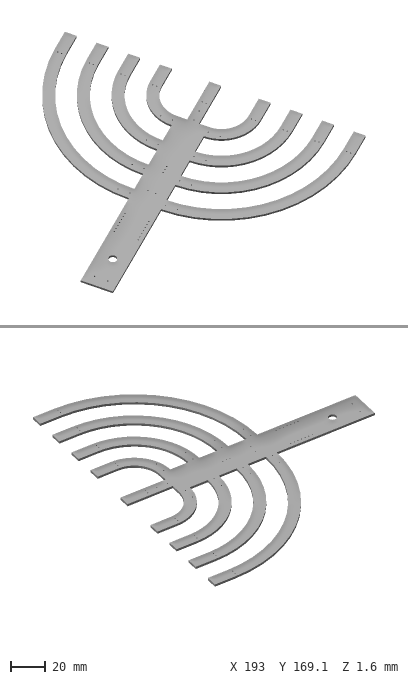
import cadquery as cq

thickness = 1.6
overall_width = 193.0
overall_height = 169.1

chip_row_spacing = 15.3
pitch = chip_row_spacing / 6

stem_width = 20.7
branch_width = 3 * pitch
branch_spacing = 8 * pitch
branch_count = 4
arc_centre_x = stem_width / 2
arc_centre_y = 155.0
outermost_radius = overall_width / 2 - branch_width / 2 - arc_centre_x
branch_radii = [outermost_radius - i * branch_spacing for i in range(branch_count)]
stem_top = arc_centre_y - branch_radii[-1] + branch_width / 2

lead_diameter = 0.75
transistor_diameter = 0.8
battery_diameter = 0.9
hanging_diameter = 5.2
hanging_y = 22.8
battery_y = 6.2
battery_half_span = 4.2
lamp_y = 153.3
centre_resistor_bottom_y = 138.6
resistor_span = 3 * pitch
branch_resistor_inner_x = 4.5 * pitch
branch_resistor_outer_x = branch_resistor_inner_x + resistor_span
capacitor_y = 78.5
transistor_middle_y = 97.3
chip_centre_y = 49.6
chip_half_span = chip_row_spacing / 2
chip_pins_per_side = 7


def block(x_min, x_max, y_min, y_max):
    """Plate-thick rectangle between the given limits."""
    corner = cq.Workplane("XY", origin=(x_min, y_min, 0))
    return corner.box(x_max - x_min, y_max - y_min, thickness, centered=False)


def branch(radius):
    """Right-hand branch: quarter ring leaving the stem, then a straight tip."""
    inner = radius - branch_width / 2
    outer = radius + branch_width / 2
    arc_centre = cq.Workplane("XY", origin=(arc_centre_x, arc_centre_y, 0))
    ring = arc_centre.circle(outer).circle(inner).extrude(thickness)
    quarter = block(arc_centre_x, arc_centre_x + outer, arc_centre_y - outer, arc_centre_y)
    tip = block(arc_centre_x + inner, arc_centre_x + outer, arc_centre_y, overall_height)
    return ring.intersect(quarter).union(tip)


def drill(body, points, diameter):
    """Through holes at the given points."""
    return body.cut(cq.Workplane("XY").pushPoints(points).circle(diameter / 2).extrude(thickness))


body = block(-stem_width / 2, stem_width / 2, 0, stem_top)
body = body.union(block(-branch_width / 2, branch_width / 2, stem_top, overall_height))
for radius in branch_radii:
    right_branch = branch(radius)
    body = body.union(right_branch).union(right_branch.mirror("YZ"))

candle_x = [0]
for radius in branch_radii:
    candle_x += [-arc_centre_x - radius, arc_centre_x + radius]
lead_points = [(x + side * pitch / 2, lamp_y) for x in candle_x for side in (-1, 1)]

lead_points += [(0, centre_resistor_bottom_y), (0, centre_resistor_bottom_y + resistor_span)]
for radius in branch_radii:
    for x in (branch_resistor_inner_x, branch_resistor_outer_x):
        lead_points += [(-x, arc_centre_y - radius), (x, arc_centre_y - radius)]

lead_points += [(-pitch, capacitor_y), (pitch, capacitor_y)]

for i in range(chip_pins_per_side):
    pin_y = chip_centre_y + (i - (chip_pins_per_side - 1) / 2) * pitch
    lead_points += [(-chip_half_span, pin_y), (chip_half_span, pin_y)]
body = drill(body, lead_points, lead_diameter)

transistor_points = [(0, transistor_middle_y + i * pitch) for i in (-1, 0, 1)]
body = drill(body, transistor_points, transistor_diameter)

battery_points = [(-battery_half_span, battery_y), (battery_half_span, battery_y)]
body = drill(body, battery_points, battery_diameter)
result = drill(body, [(0, hanging_y)], hanging_diameter)